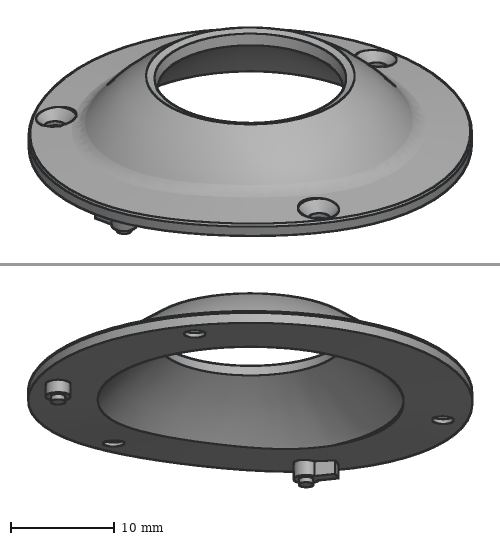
import cadquery as cq
import math

outer_radius = 21.5
cavity_radius = 14.85
flange_inner_radius = 12.9
underside_height = 1.85
rim_thickness = 1.3
top_slope = 0.1
rim_chamfer_width = 0.17
rim_chamfer_drop = 0.25
rim_rise = [0.17, 0, 0, 0, 0, 0, -0.15, -0.4, -0.2, 0.35, 1.05, 0.8]

top_height = 9.15
dome_centre_height = -8.2
lip_radius = 10.1
opening_radius = 9.0
opening_bottom_height = 7.8
lip_inner_radius = 9.3
lip_inner_height = 8.9
dome_foot_radius = 16.7
cavity_middle_radius = 12.17
cavity_middle_height = 5.08
foot_height = 3.0
blend_radius = 1.95

fastener_circle_radius = 19.2
screw_angles = [90, 210, 330]
screw_diameter = 2.05
countersink_diameter = 4.15
countersink_depth = 1.05

key_post_angle = 270
post_angles = [key_post_angle, 30]
post_diameter = 2.4
post_bottom = 0.55
tip_diameter = 1.4
key_length = 3.1
key_width = 1.3


def at_angle(radius, angle):
    """X and Y of a point at an angle in degrees around the axis."""
    turn = math.radians(angle)
    return radius * math.cos(turn), radius * math.sin(turn)


def wavy_ring(radius, height):
    """Closed curve whose waviness grows in proportion to its radius."""
    step = 360 / len(rim_rise)
    points = []
    for index, rise in enumerate(rim_rise):
        x, y = at_angle(radius, index * step)
        points.append(cq.Vector(x, y, height + rise * radius / outer_radius))
    return cq.Edge.makeSpline(points, periodic=True)


def make_flange():
    """Wavy ring bounded by ruled bands between successive closed curves."""
    edge_radius = outer_radius - rim_chamfer_width
    rim_top = underside_height + rim_thickness
    top_inner = rim_top + top_slope * (edge_radius - flange_inner_radius)
    rings = [
        wavy_ring(flange_inner_radius, underside_height),
        wavy_ring(outer_radius, underside_height),
        wavy_ring(outer_radius, rim_top - rim_chamfer_drop),
        wavy_ring(edge_radius, rim_top),
        wavy_ring(flange_inner_radius, top_inner),
    ]
    bands = [
        cq.Face.makeRuledSurface(ring, following)
        for ring, following in zip(rings, rings[1:] + rings[:1])
    ]
    return cq.Workplane(cq.Solid.makeSolid(cq.Shell.makeShell(bands)))


def dome_height(radius):
    sphere_radius = math.hypot(lip_radius, top_height - dome_centre_height)
    return dome_centre_height + math.sqrt(sphere_radius**2 - radius**2)


def make_dome():
    """Solid cap whose foot lies buried within the flange."""
    middle_radius = (lip_radius + dome_foot_radius) / 2
    return (
        cq.Workplane("XZ")
        .moveTo(0, foot_height)
        .lineTo(0, top_height)
        .lineTo(lip_radius, top_height)
        .threePointArc(
            (middle_radius, dome_height(middle_radius)),
            (dome_foot_radius, dome_height(dome_foot_radius)),
        )
        .lineTo(dome_foot_radius, foot_height)
        .close()
        .revolve(360, (0, 0, 0), (0, 1, 0))
    )


def cavity_cutter():
    """Hollow of the dome together with its opening and bevelled lip."""
    return (
        cq.Workplane("XZ")
        .lineTo(cavity_radius, 0)
        .lineTo(cavity_radius, underside_height)
        .threePointArc(
            (cavity_middle_radius, cavity_middle_height),
            (opening_radius, opening_bottom_height),
        )
        .lineTo(lip_inner_radius, lip_inner_height)
        .lineTo(lip_radius, top_height)
        .lineTo(0, top_height)
        .close()
        .revolve(360, (0, 0, 0), (0, 1, 0))
    )


def blend_dome(body):
    """Round the concave corner between dome and flange."""
    def on_corner(edge):
        box = edge.BoundingBox()
        return cavity_radius < box.xmax < dome_foot_radius and box.zmin > foot_height

    return body.newObject([e for e in body.edges().vals() if on_corner(e)]).fillet(blend_radius)


def screw_cutter(angle):
    """Through hole with a countersink set into the local flange surface."""
    x, y = at_angle(fastener_circle_radius, angle)
    rise = rim_rise[round(angle * len(rim_rise) / 360)] * fastener_circle_radius / outer_radius
    surface = (
        underside_height + rim_thickness + rise
        + top_slope * (outer_radius - rim_chamfer_width - fastener_circle_radius)
    )
    hole_radius = screw_diameter / 2
    sink_radius = countersink_diameter / 2
    cone = cq.Solid.makeCone(
        hole_radius, sink_radius, countersink_depth, cq.Vector(x, y, surface - countersink_depth)
    )
    mouth = cq.Solid.makeCylinder(sink_radius, top_height, cq.Vector(x, y, surface))
    hole = cq.Solid.makeCylinder(hole_radius, top_height, cq.Vector(x, y, 0))
    return cq.Workplane(hole).union(cq.Workplane(cone)).union(cq.Workplane(mouth))


def make_post(angle):
    """Round post reaching into the flange, with its narrow tip at Z = 0."""
    x, y = at_angle(fastener_circle_radius, angle)
    post = cq.Solid.makeCylinder(post_diameter / 2, foot_height - post_bottom, cq.Vector(x, y, post_bottom))
    tip = cq.Solid.makeCylinder(tip_diameter / 2, foot_height, cq.Vector(x, y, 0))
    return cq.Workplane(post).union(cq.Workplane(tip))


def make_key():
    """Flat key running from the post towards -X."""
    x, y = at_angle(fastener_circle_radius, key_post_angle)
    return (
        cq.Workplane("XY", origin=(x - key_length / 2, y, post_bottom))
        .box(key_length, key_width, foot_height - post_bottom, centered=(True, True, False))
    )


result = blend_dome(make_flange().union(make_dome()))
result = result.cut(cavity_cutter())
for screw_angle in screw_angles:
    result = result.cut(screw_cutter(screw_angle))
for post_angle in post_angles:
    result = result.union(make_post(post_angle))
result = result.union(make_key())